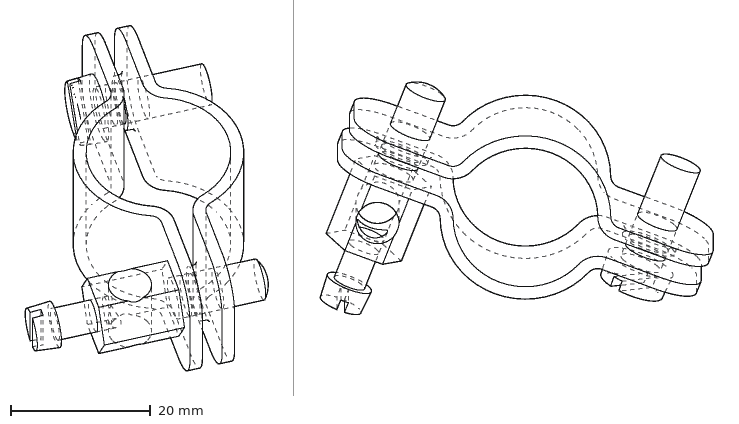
import cadquery as cq
import math

STRAP_LENGTH = 55.0
STRAP_HEIGHT = 20.0
THICKNESS = 1.85
GAP = 2.9
RING_OUTER_R = 12.2
RING_INNER_R = RING_OUTER_R - THICKNESS
BEND_INNER_R = 1.8
BEND_OUTER_R = BEND_INNER_R + THICKNESS
EAR_CORNER_R = 6.0
EAR_INNER_Y = GAP / 2
EAR_OUTER_Y = EAR_INNER_Y + THICKNESS

FASTENER_X = 18.9
SHANK_R = 6.05 / 2

COLLAR_R = 8.05 / 2
COLLAR_LENGTH = 1.65
COLLAR_FILLET = 1.0

CLAMP_TIP_Y = 12.65
CLAMP_HEAD_BASE_R = 9.95 / 2
CLAMP_HEAD_END_R = 9.45 / 2
CLAMP_HEAD_HEIGHT = 3.8
CLAMP_HEAD_FILLET = 0.2
CLAMP_SLOT_WIDTH = 1.5
CLAMP_SLOT_ANGLE = 33.2
SLOT_DEPTH = 1.6

HEX_FLATS = 10.0
HEX_CORNERS = HEX_FLATS / math.cos(math.pi / 6)
HEX_LENGTH = 11.95
DOME_BASE_Y = 9.55
DOME_HEIGHT = 1.1
WIRE_HOLE_R = 6.15 / 2
WIRE_HOLE_OFFSET = 6.45
HEX_END_Y = -EAR_OUTER_Y - HEX_LENGTH
WIRE_HOLE_Y = -EAR_OUTER_Y - WIRE_HOLE_OFFSET

TERMINAL_SHANK_R = 4.7 / 2
TERMINAL_HEAD_BASE_R = 6.8 / 2
TERMINAL_HEAD_END_R = 6.25 / 2
TERMINAL_HEAD_HEIGHT = 3.5
TERMINAL_END_Y = -24.5
TERMINAL_SLOT_WIDTH = 1.15
TERMINAL_TIP_CLEARANCE = 0.35
TERMINAL_HEAD_Y = TERMINAL_END_Y + TERMINAL_HEAD_HEIGHT
TERMINAL_TIP_Y = WIRE_HOLE_Y - WIRE_HOLE_R - TERMINAL_TIP_CLEARANCE


def cylinder_y(x, radius, y_start, y_end):
    """Cylinder along Y, centred on Z = 0."""
    return (
        cq.Workplane("XZ", origin=(x, y_start, 0))
        .circle(radius)
        .extrude(y_start - y_end)
    )


def screw_slot(x, end_y, width, length, angle):
    """Cutter for a driver slot that is vertical at angle zero."""
    return (
        cq.Workplane("XY")
        .box(width, SLOT_DEPTH, length)
        .rotate((0, 0, 0), (0, 1, 0), angle)
        .translate((x, end_y + SLOT_DEPTH / 2, 0))
    )


def tapered_head(x, base_y, base_r, end_r, height):
    """Conical screw head that narrows toward -Y."""
    return (
        cq.Workplane("XZ", origin=(x, base_y, 0))
        .circle(base_r)
        .workplane(offset=height)
        .circle(end_r)
        .loft()
    )


def make_strap_band():
    """Half-ring on the +Y side, blended by tangent bends into two flat ears."""
    half_length = STRAP_LENGTH / 2
    bend_y = EAR_OUTER_Y + BEND_INNER_R
    bend_reach = RING_OUTER_R + BEND_INNER_R
    bend_angle = math.asin(bend_y / bend_reach)
    bend_x = bend_reach * math.cos(bend_angle)
    middle_angle = (math.pi / 2 - bend_angle) / 2

    def ring_point(radius):
        return radius * math.cos(bend_angle), radius * math.sin(bend_angle)

    def bend_middle(radius):
        x = bend_x - radius * math.sin(middle_angle)
        y = bend_y - radius * math.cos(middle_angle)
        return x, y

    def mirrored(point):
        return -point[0], point[1]

    outer_tangent = ring_point(RING_OUTER_R)
    inner_tangent = ring_point(RING_INNER_R)
    outer_middle = bend_middle(BEND_INNER_R)
    inner_middle = bend_middle(BEND_OUTER_R)
    return (
        cq.Workplane("XY", origin=(0, 0, -STRAP_HEIGHT / 2))
        .moveTo(half_length, EAR_INNER_Y)
        .lineTo(half_length, EAR_OUTER_Y)
        .lineTo(bend_x, EAR_OUTER_Y)
        .threePointArc(outer_middle, outer_tangent)
        .threePointArc((0, RING_OUTER_R), mirrored(outer_tangent))
        .threePointArc(mirrored(outer_middle), (-bend_x, EAR_OUTER_Y))
        .lineTo(-half_length, EAR_OUTER_Y)
        .lineTo(-half_length, EAR_INNER_Y)
        .lineTo(-bend_x, EAR_INNER_Y)
        .threePointArc(mirrored(inner_middle), mirrored(inner_tangent))
        .threePointArc((0, RING_INNER_R), inner_tangent)
        .threePointArc(inner_middle, (bend_x, EAR_INNER_Y))
        .close()
        .extrude(STRAP_HEIGHT)
        .edges("|Y and (<X or >X)")
        .fillet(EAR_CORNER_R)
    )


def make_collar(x):
    """Round collar on the ear's inner face, flared where it meets the ear."""
    end_y = EAR_INNER_Y - COLLAR_LENGTH
    flare_r = COLLAR_R + COLLAR_FILLET
    flare_y = EAR_INNER_Y - COLLAR_FILLET
    arc_offset = COLLAR_FILLET * math.sqrt(0.5)
    return (
        cq.Workplane("XY")
        .moveTo(0, EAR_INNER_Y)
        .lineTo(flare_r, EAR_INNER_Y)
        .threePointArc((flare_r - arc_offset, flare_y + arc_offset), (COLLAR_R, flare_y))
        .lineTo(COLLAR_R, end_y)
        .lineTo(0, end_y)
        .close()
        .revolve(360, (0, 0, 0), (0, 1, 0))
        .translate((x, 0, 0))
    )


def make_rear_strap():
    strap = make_strap_band()
    for x in (-FASTENER_X, FASTENER_X):
        strap = strap.union(make_collar(x))
        strap = strap.cut(cylinder_y(x, SHANK_R, EAR_INNER_Y - COLLAR_LENGTH, EAR_OUTER_Y))
    return strap


def make_front_strap():
    strap = make_strap_band().mirror("XZ")
    for x in (-FASTENER_X, FASTENER_X):
        strap = strap.cut(cylinder_y(x, SHANK_R, -EAR_OUTER_Y, -EAR_INNER_Y))
    return strap


def make_clamp_screw():
    x = -FASTENER_X
    head_y = -EAR_OUTER_Y
    end_y = head_y - CLAMP_HEAD_HEIGHT
    head = tapered_head(x, head_y, CLAMP_HEAD_BASE_R, CLAMP_HEAD_END_R, CLAMP_HEAD_HEIGHT)
    head = head.faces("<Y").edges().fillet(CLAMP_HEAD_FILLET)
    slot = screw_slot(x, end_y, CLAMP_SLOT_WIDTH, 2 * CLAMP_HEAD_BASE_R, -CLAMP_SLOT_ANGLE)
    return head.cut(slot).union(cylinder_y(x, SHANK_R, head_y, CLAMP_TIP_Y))


def make_terminal_stud():
    x = FASTENER_X
    hexagon = (
        cq.Workplane("XZ", origin=(x, -EAR_OUTER_Y, 0))
        .polygon(6, HEX_CORNERS)
        .extrude(HEX_LENGTH)
    )
    dome_r = (SHANK_R**2 + DOME_HEIGHT**2) / (2 * DOME_HEIGHT)
    dome_center_y = DOME_BASE_Y + DOME_HEIGHT - dome_r
    dome = cq.Workplane("XY").sphere(dome_r).translate((x, dome_center_y, 0))
    shank = cylinder_y(x, SHANK_R, -EAR_OUTER_Y, DOME_BASE_Y)
    tip = cylinder_y(x, SHANK_R, DOME_BASE_Y, DOME_BASE_Y + DOME_HEIGHT).intersect(dome)
    wire_hole = (
        cq.Workplane("XY", origin=(x, WIRE_HOLE_Y, -HEX_FLATS / 2))
        .circle(WIRE_HOLE_R)
        .extrude(HEX_FLATS)
    )
    screw_bore = cylinder_y(x, TERMINAL_SHANK_R, HEX_END_Y, WIRE_HOLE_Y)
    return hexagon.union(shank).union(tip).cut(wire_hole).cut(screw_bore)


def make_terminal_screw():
    x = FASTENER_X
    shank = cylinder_y(x, TERMINAL_SHANK_R, TERMINAL_HEAD_Y, TERMINAL_TIP_Y)
    head = tapered_head(
        x, TERMINAL_HEAD_Y, TERMINAL_HEAD_BASE_R, TERMINAL_HEAD_END_R, TERMINAL_HEAD_HEIGHT
    )
    slot = screw_slot(x, TERMINAL_END_Y, TERMINAL_SLOT_WIDTH, 2 * TERMINAL_HEAD_BASE_R, 0)
    return head.cut(slot).union(shank)


rear_strap = make_rear_strap()
front_strap = make_front_strap()
clamp_screw = make_clamp_screw()
terminal_stud = make_terminal_stud()
terminal_screw = make_terminal_screw()

result = cq.Compound.makeCompound(
    [
        rear_strap.val(),
        front_strap.val(),
        clamp_screw.val(),
        terminal_stud.val(),
        terminal_screw.val(),
    ]
)